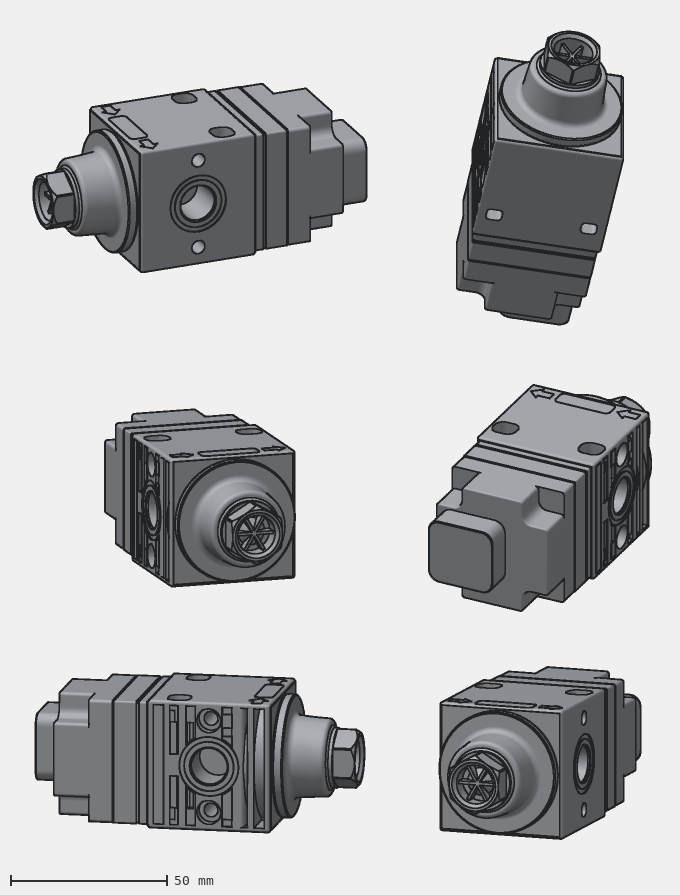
import cadquery as cq
import math

length = 105.0
y_front = -length / 2
y_rear = length / 2
body_size = 42.0
body_half = body_size / 2
body_front = -27.4
body_rear = 12.6
body_fillet = 0.9
face_plate_size = 40.3
face_plate_thickness = 0.3

stage_size = 40.1
stage_half = stage_size / 2
stage_fillet = 0.6
cap_fillet = 1.0
gap_size = 39.1
gap_front = 15.5
gap_rear = 16.5
cap_front = 23.8
cap_rear = 43.5
cap_end_fillet = 0.5
cap_seam_width = 0.4
cap_seam_depth = 0.2

notch_front = 31.9
notch_x = 10.9
notch_z = 12.1
notch_radius = 3.2

connector_width = 23.0
connector_height = 22.0
connector_x = 6.8
connector_radius = 3.9
connector_chamfer = 0.3

flange_radius = 19.8
flange_neck_radius = 19.4
flange_rear = -28.2
flange_front = -31.2
flange_chamfer = 0.4
blend_outer_radius = 15.4
knob_rear_radius = 13.2
knob_rear = -33.0
knob_front_radius = 12.6
knob_shoulder = -42.2
knob_tip_radius = 11.1
knob_tip = -43.5
neck_cone_radius = 10.5
neck_radius = 9.7
neck_rear = -44.1
hex_rear = -45.4

hex_flats = 16.8
hex_corner_radius = 9.6
hex_end_radius = 8.4
hex_end_chamfer = hex_corner_radius - hex_end_radius

socket_radius = 6.3
socket_mouth_radius = 7.5
socket_mouth_depth = socket_mouth_radius - socket_radius
spoke_depth = 3.2
socket_depth = 6.8
socket_cone_radius = 4.5
socket_cone_tip_depth = 3.4
spoke_width = 0.9
spoke_reach = socket_mouth_radius
bar_count = 3

port_y = -7.5
port_radius = 5.9
port_chamfer = 0.4
port_depth = 14.7
ring_outer_radius = 9.7
ring_inner_radius = 8.1
ring_depth = 0.4
port_land_radius = 10.1

cross_z = 15.0
cross_diameter = 4.5
cross_bore_diameter = 7.8
cross_bore_depth = 3.8

slot_x = 15.4
slot_y = 3.2
slot_length = 5.1
slot_width = 4.3
slot_radius = 1.4
slot_bore_length = 8.2
slot_bore_width = 7.4
slot_bore_radius = 2.9
slot_bore_depth = 6.3

groove_half_height = 19.5
groove_depth = 0.2
groove_1 = (7.4, 10.7)
groove_2 = (2.6, 5.4)
groove_3 = (-3.0, 0.0)
groove_4 = (-15.0, -11.8)
groove_5 = (-20.1, -17.8)
groove_6 = (-25.5, -22.2)
groove_2_end = 3.6
pocket_end = 14.1
pocket_2 = (3.0, 5.4)
pocket_2_step = (3.7, 5.4)
pocket_2_step_end = 17.8
pocket_2_depth = 0.8
pocket_2_step_depth = 0.4
pocket_3 = (-2.3, 0.0)
pocket_3_depth = 1.9
pocket_3_channel = (-2.3, -0.8)
pocket_3_channel_depth = 2.1
pocket_4_spans = ((17.2, groove_half_height), (10.0, 12.8), (-groove_half_height, -17.2))
pocket_4_depth = 1.0
core_radius = 20.6
core_groove_depth = 12.6
groove_5_lip_radius = 0.9

marking_depth = 0.1
label_length = 19.5
label_width = 6.1
label_radius = 1.6
label_y = -23.0
arrow_tails_x = (-19.2, 11.8)
arrow_y = -22.6
arrow_length = 7.5
arrow_tail_length = 4.2
arrow_tail_half_width = 1.6
arrow_head_half_width = 3.0


def block(x_span, y_span, z_span):
    """Box filling the given spans along the three axes."""
    spans = (x_span, y_span, z_span)
    sizes = [high - low for low, high in spans]
    middle = tuple((low + high) / 2 for low, high in spans)
    return cq.Workplane("XY").box(*sizes).translate(middle)


def square_stage(size, y_low, y_high):
    """Square prism about the Y axis."""
    half = size / 2
    return block((-half, half), (y_low, y_high), (-half, half))


def y_cylinder(radius, y_low, y_high):
    """Cylinder about the Y axis."""
    return cq.Workplane("XZ", origin=(0, y_high, 0)).circle(radius).extrude(y_high - y_low)


def x_cylinder(radius, x_low, x_high, y, z):
    """Cylinder parallel to the X axis."""
    return cq.Workplane("YZ", origin=(x_low, y, z)).circle(radius).extrude(x_high - x_low)


def make_cap():
    """Rear cap: full square in front, cross-shaped behind, with rounded edges."""
    front = square_stage(stage_size, cap_front, notch_front).edges("|Y").fillet(cap_fillet)
    seam_end = cap_front + cap_seam_width
    seam = square_stage(body_size, cap_front, seam_end)
    seam = seam.cut(square_stage(stage_size - 2 * cap_seam_depth, cap_front, seam_end))
    y_span = (notch_front, cap_rear)
    tall = block((-notch_x, notch_x), y_span, (-stage_half, stage_half))
    wide = block((-stage_half, stage_half), y_span, (-notch_z, notch_z))
    inner_corners = cq.selectors.BoxSelector(
        (-notch_x - cap_fillet, 0, -notch_z - cap_fillet),
        (notch_x + cap_fillet, y_rear, notch_z + cap_fillet),
    )
    cross = tall.union(wide)
    cross = cross.edges("|Y").edges(inner_corners).fillet(notch_radius)
    tips = cross.edges("|Y and (<X or >X or <Z or >Z)")
    cross = tips.fillet(cap_fillet).faces(">Y").edges().fillet(cap_end_fillet)
    return front.cut(seam).union(cross)


def make_rear():
    """Spacer ring, gap, cap with four notches, and the offset connector."""
    spacer = square_stage(stage_size, body_rear, gap_front).edges("|Y").fillet(stage_fillet)
    gap = square_stage(gap_size, gap_front, gap_rear)
    stage = square_stage(stage_size, gap_rear, cap_front).edges("|Y").fillet(stage_fillet)
    connector = (
        cq.Workplane("XZ", origin=(connector_x, y_rear, 0))
        .rect(connector_width, connector_height)
        .extrude(y_rear - cap_rear)
        .edges("|Y")
        .fillet(connector_radius)
        .faces(">Y")
        .chamfer(connector_chamfer)
    )
    return spacer.union(gap).union(stage).union(make_cap()).union(connector)


def make_knob():
    """Flange, tapered knob and neck turned about the Y axis."""
    blend = 1 - math.sqrt(0.5)
    blend_middle = (
        knob_rear_radius + blend * (blend_outer_radius - knob_rear_radius),
        flange_front + blend * (knob_rear - flange_front),
    )
    shoulder_middle = (
        knob_front_radius - blend * (knob_front_radius - knob_tip_radius),
        knob_tip + blend * (knob_shoulder - knob_tip),
    )
    return (
        cq.Workplane("XY")
        .moveTo(0, body_front)
        .lineTo(flange_neck_radius, body_front)
        .lineTo(flange_neck_radius, flange_rear)
        .lineTo(flange_radius, flange_rear)
        .lineTo(flange_radius, flange_front + flange_chamfer)
        .lineTo(flange_radius - flange_chamfer, flange_front)
        .lineTo(blend_outer_radius, flange_front)
        .threePointArc(blend_middle, (knob_rear_radius, knob_rear))
        .lineTo(knob_front_radius, knob_shoulder)
        .threePointArc(shoulder_middle, (knob_tip_radius, knob_tip))
        .lineTo(neck_cone_radius, knob_tip)
        .lineTo(neck_radius, neck_rear)
        .lineTo(neck_radius, hex_rear)
        .lineTo(0, hex_rear)
        .close()
        .revolve(360, (0, 0, 0), (0, 1, 0))
    )


def make_socket():
    """Material removed from the nut: bevelled bore with a cone rising from its floor."""
    floor_y = y_front + socket_depth
    return (
        cq.Workplane("XY")
        .moveTo(0, y_front)
        .lineTo(socket_mouth_radius, y_front)
        .lineTo(socket_radius, y_front + socket_mouth_depth)
        .lineTo(socket_radius, floor_y)
        .lineTo(socket_cone_radius, floor_y)
        .lineTo(0, y_front + socket_cone_tip_depth)
        .close()
        .revolve(360, (0, 0, 0), (0, 1, 0))
    )


def make_spokes():
    """Bars crossing the socket through its axis."""
    bar = block(
        (-spoke_reach, spoke_reach),
        (y_front + spoke_depth, hex_rear),
        (-spoke_width / 2, spoke_width / 2),
    )
    bars = bar
    for index in range(1, bar_count):
        bars = bars.union(bar.rotate((0, 0, 0), (0, 1, 0), index * 180 / bar_count))
    return bars


def make_nut():
    """Hexagonal nut with trimmed corners and a spoked socket."""
    corner_diameter = hex_flats / math.cos(math.pi / 6)
    nut = (
        cq.Workplane("XZ", origin=(0, hex_rear, 0))
        .polygon(6, corner_diameter)
        .extrude(hex_rear - y_front)
        .rotate((0, 0, 0), (0, 1, 0), 30)
    )
    trim = y_cylinder(hex_corner_radius, y_front, hex_rear).faces("<Y").chamfer(hex_end_chamfer)
    return nut.intersect(trim).cut(make_socket()).union(make_spokes())


def make_port():
    """Port cut on the -X face: chamfered bore with a ring groove around it."""
    bore = x_cylinder(port_radius, -body_half, port_depth - body_half, port_y, 0)
    mouth = (
        x_cylinder(port_radius + port_chamfer, -body_half, 2 * port_chamfer - body_half, port_y, 0)
        .faces(">X")
        .chamfer(port_chamfer)
    )
    ring_floor = ring_depth - body_half
    ring = x_cylinder(ring_outer_radius, -body_half, ring_floor, port_y, 0)
    ring = ring.cut(x_cylinder(ring_inner_radius, -body_half, ring_floor, port_y, 0))
    return bore.union(mouth).union(ring)


def make_cross_hole(z):
    """Through hole along X, counterbored on the -X face."""
    hole = x_cylinder(cross_diameter / 2, -body_half, body_half, port_y, z)
    bore_floor = cross_bore_depth - body_half
    return hole.union(x_cylinder(cross_bore_diameter / 2, -body_half, bore_floor, port_y, z))


def make_slot_hole(x):
    """Rounded rectangular through hole along Z, counterbored on the top face."""
    top = cq.Workplane("XY", origin=(x, slot_y, body_half))
    hole = top.rect(slot_length, slot_width).extrude(-body_size)
    bore = top.rect(slot_bore_length, slot_bore_width).extrude(-slot_bore_depth)
    return hole.edges("|Z").fillet(slot_radius).union(bore.edges("|Z").fillet(slot_bore_radius))


def face_pocket(y_span, z_span, depth):
    """Rectangular pocket sunk into the -X face."""
    return block((-body_half, depth - body_half), y_span, z_span)


def make_grooves():
    """Relief grooves of the -X face, kept clear of the port ring and the round core."""
    full_height = (-groove_half_height, groove_half_height)
    grooves = face_pocket(groove_1, full_height, groove_depth)
    for y_span in (groove_3, groove_4):
        grooves = grooves.union(face_pocket(y_span, full_height, groove_depth))
    for z_span in pocket_4_spans:
        grooves = grooves.union(face_pocket(groove_4, z_span, pocket_4_depth))

    upper = face_pocket(groove_2, (groove_2_end, groove_half_height), groove_depth)
    upper = upper.union(face_pocket(pocket_2, (groove_2_end, pocket_end), pocket_2_depth))
    step_heights = (pocket_end, pocket_2_step_end)
    upper = upper.union(face_pocket(pocket_2_step, step_heights, pocket_2_step_depth))
    upper = upper.union(face_pocket(pocket_3, (0, pocket_end), pocket_3_depth))
    channel = face_pocket(pocket_3_channel, (0, pocket_end), pocket_3_channel_depth)
    upper = upper.union(channel)
    grooves = grooves.union(upper).union(upper.mirror("XY"))
    port_land = x_cylinder(port_land_radius, -body_half, 0, port_y, 0)
    grooves = grooves.cut(port_land)

    wall_y = groove_5[1] - groove_5_lip_radius
    deep = face_pocket((groove_5[0], wall_y), full_height, core_groove_depth)
    lip = face_pocket((wall_y, groove_5[1]), full_height, groove_5_lip_radius)
    lip_round = (
        cq.Workplane("XY", origin=(groove_5_lip_radius - body_half, groove_5[1], -body_half))
        .circle(groove_5_lip_radius)
        .extrude(body_size)
    )
    deep = deep.union(lip.cut(lip_round))
    deep = deep.union(face_pocket(groove_6, full_height, core_groove_depth))
    deep = deep.cut(y_cylinder(core_radius, body_front, body_rear))
    return grooves.union(deep)


def make_markings():
    """Shallow label panel and two flow arrows engraved in the top face."""
    label = (
        cq.Workplane("XY", origin=(0, label_y, body_half))
        .rect(label_length, label_width)
        .extrude(-marking_depth)
        .edges("|Z")
        .fillet(label_radius)
    )
    markings = label
    for tail_x in arrow_tails_x:
        arrow = (
            cq.Workplane("XY", origin=(tail_x, arrow_y, body_half))
            .moveTo(0, -arrow_tail_half_width)
            .lineTo(arrow_tail_length, -arrow_tail_half_width)
            .lineTo(arrow_tail_length, -arrow_head_half_width)
            .lineTo(arrow_length, 0)
            .lineTo(arrow_tail_length, arrow_head_half_width)
            .lineTo(arrow_tail_length, arrow_tail_half_width)
            .lineTo(0, arrow_tail_half_width)
            .close()
            .extrude(-marking_depth)
        )
        markings = markings.union(arrow)
    return markings


def make_body():
    """Main block with thin end plates, ports, holes, grooves and markings."""
    body = square_stage(body_size, body_front, body_rear).edges().fillet(body_fillet)
    plate_front = body_front - face_plate_thickness
    plate_rear = body_rear + face_plate_thickness
    body = body.union(square_stage(face_plate_size, plate_front, plate_rear))
    port = make_port()
    body = body.cut(port).cut(port.mirror("YZ"))
    for side in (-1, 1):
        body = body.cut(make_cross_hole(side * cross_z))
        body = body.cut(make_slot_hole(side * slot_x))
    return body.cut(make_grooves()).cut(make_markings())


result = make_body().union(make_rear()).union(make_knob()).union(make_nut())